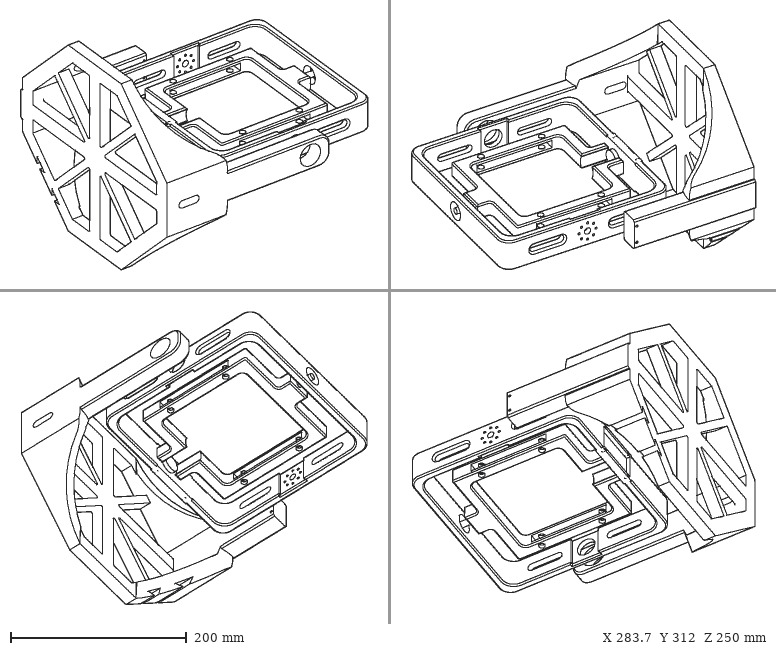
import cadquery as cq
import math

ROOT2 = math.sqrt(2)

HALF_HEIGHT = 20.0
EDGE = 2.0
PIVOT_Y = 202.0
SCREW_D = 2.6
CLEAR = 3.0
FAR = 312.0

PLATE_HALF_X = 140.0
PLATE_HALF_Z = 125.0
CORNER_CUT = 88.5
RIM = 20.0
SPOKE = 10.0
PLATE_THICK = 15.0
WINDOW_R = 2.0
GUSSET_Y = 85.5
GUSSET_HOLLOW_R = 137.3
GUSSET_SHOULDER_R = 30.0
ARM_EDGE = 2.2
BOSS_PROUD = 3.7
LEFT_ARM_Y = 160.0
RIGHT_ARM_Y = 229.7
RIGHT_ARM_END_R = 14.5
ARM_HOLE_D = 28.5
ARM_SCREW_Y = 156.7
ARM_SCREW_Z = 11.2
CABLE_SLOT_Y = 31.2
CABLE_SLOT_LENGTH = 28.0
CABLE_SLOT_WIDTH = 10.0
NOTCH_MOUTH = 7.0
NOTCH_DEPTH = 6.5
NOTCH_PLACES = (43.7, 84.0)

PLATE_TOP_X = PLATE_HALF_X - CORNER_CUT
PLATE_SIDE_Z = PLATE_HALF_Z - CORNER_CUT

RING_SIDE = 220.0
RING_WALL = 10.0
RING_CORNER_R = 15.0
RING_SLOT_OFFSET = 52.5
RING_SLOT_LENGTH = 45.0
RING_SLOT_WIDTH = 10.0
RING_SLOT_CHAMFER = 2.5
RECESS_LENGTH = 36.0
LEFT_RECESS = 2.5
RIGHT_RECESS = 3.5
SHAFT_HOLE_D = 8.0
HORN_SCREWS = 8
HORN_CIRCLE_R = 11.2
RIGHT_BEARING_D = 23.0
BACK_BEARING_D = 22.5
HUB_D = 22.5
HUB_LENGTH = 5.0
SERVO_X = -13.0
SERVO_LENGTH = 58.0
SERVO_HEIGHT = 31.2
SERVO_DEPTH = 5.0
SERVO_SCREW_X = 25.3
SERVO_SCREW_Z = 17.8
PLAIN_LENGTH = 64.3

RING_HALF = RING_SIDE / 2
RING_INNER = RING_HALF - RING_WALL

FRAME_Y = 199.0
FRAME_SIDE = 150.0
FRAME_OPENING = 120.2
FRAME_HALF_HEIGHT = 10.0
FRAME_INNER_R = 7.5
FRAME_OUTER_R = 2.5
TAB_ROOT_R = 5.0
BACK_TAB_WIDTH = 31.2
BACK_TAB_Y = 292.0
FORK_WIDTH = 43.0
FORK_GAP = 24.0
FORK_Y = 103.0
FORK_BORE_D = 28.5
PIN_D = 7.5
RAIL_HOLE_D = 7.5
RAIL_HOLE_X = 67.5
RAIL_HOLE_Y = 40.0
RAIL_SLOT_LENGTH = 99.0
RAIL_SLOT_HEIGHT = 10.0


def box(x0, x1, y0, y1, z0, z1):
    """Box between two opposite corners."""
    return cq.Workplane("XY").box(x1 - x0, y1 - y0, z1 - z0, centered=False).translate((x0, y0, z0))


def x_cylinder(diameter, x0, x1, y, z=0):
    return cq.Workplane("YZ", origin=(x0, y, z)).circle(diameter / 2).extrude(x1 - x0)


def y_cylinder(diameter, y0, y1, x=0, z=0):
    return cq.Workplane("XZ", origin=(x, y0, z)).circle(diameter / 2).extrude(y0 - y1)


def octagon(inset, length):
    """Octagonal prism along +Y from y = 0, its sides moved inwards by the inset."""
    half_x = PLATE_HALF_X - inset
    half_z = PLATE_HALF_Z - inset
    reach = PLATE_HALF_X + PLATE_SIDE_Z - inset * ROOT2
    top_x = reach - half_z
    side_z = reach - half_x
    points = [
        (half_x, side_z), (top_x, half_z), (-top_x, half_z), (-half_x, side_z),
        (-half_x, -side_z), (-top_x, -half_z), (top_x, -half_z), (half_x, -side_z),
    ]
    return cq.Workplane("XZ").polyline(points).close().extrude(-length)


def plate_windows():
    """Eight openings left between the rim, the cross ribs and the diagonal spokes."""
    windows = octagon(RIM, PLATE_THICK)
    for angle in (45, 135):
        spoke = cq.Workplane("XY").box(2 * FAR, 2 * PLATE_THICK, SPOKE)
        windows = windows.cut(spoke.rotate((0, 0, 0), (0, 1, 0), angle))
    windows = windows.cut(cq.Workplane("XY").box(2 * FAR, 2 * PLATE_THICK, RIM))
    windows = windows.cut(cq.Workplane("XY").box(RIM, 2 * PLATE_THICK, 2 * FAR))
    near = RIM / 2 + 0.03
    beside_upright = cq.selectors.BoxSelector((-near, -CLEAR, -FAR), (near, FAR, FAR))
    beside_level = cq.selectors.BoxSelector((-FAR, -CLEAR, -near), (FAR, FAR, near))
    return windows.edges(beside_upright + beside_level).edges("|Y").fillet(WINDOW_R)


def gusset_cut():
    """Space above the swept top of the +X +Z diagonal wall, cut square to that wall."""
    radii = GUSSET_HOLLOW_R + GUSSET_SHOULDER_R
    rise = GUSSET_Y - PLATE_THICK
    run = math.sqrt(radii**2 - (radii - rise) ** 2)
    angle = math.asin(run / radii)

    def hollow(turn):
        return (GUSSET_HOLLOW_R * math.sin(turn), PLATE_THICK + GUSSET_HOLLOW_R * (1 - math.cos(turn)))

    def shoulder(turn):
        return (run - GUSSET_SHOULDER_R * math.sin(turn), GUSSET_Y - GUSSET_SHOULDER_R * (1 - math.cos(turn)))

    back = -93.5
    above = 2 * GUSSET_Y
    wall = cq.Plane(origin=(PLATE_TOP_X, 0, PLATE_HALF_Z), xDir=(1, 0, -1), normal=(1, 0, 1))
    profile = (
        cq.Workplane(wall)
        .moveTo(back, PLATE_THICK)
        .lineTo(0, PLATE_THICK)
        .threePointArc(hollow(angle / 2), hollow(angle))
        .threePointArc(shoulder(angle / 2), (run, GUSSET_Y))
        .lineTo(run, above)
        .lineTo(back, above)
        .close()
    )
    return profile.extrude(62.5, both=True)


def dovetail_notch(place):
    """Dovetail groove along Y in the lower left diagonal wall."""
    mouth = NOTCH_MOUTH / 2
    base = mouth + NOTCH_DEPTH
    step = place / ROOT2
    wall = cq.Plane(
        origin=(-PLATE_HALF_X + step, 0, -PLATE_SIDE_Z - step), xDir=(1, 0, -1), normal=(0, -1, 0)
    )
    points = [(-mouth, 0), (mouth, 0), (base, NOTCH_DEPTH), (-base, NOTCH_DEPTH)]
    return cq.Workplane(wall).polyline(points).close().extrude(-2 * GUSSET_Y)


def make_bracket():
    body = octagon(0, GUSSET_Y).cut(octagon(RIM, GUSSET_Y).translate((0, PLATE_THICK, 0)))
    body = body.cut(box(-PLATE_TOP_X, PLATE_TOP_X, PLATE_THICK, FAR, -FAR, FAR))
    cutter = gusset_cut()
    for tool in (cutter, cutter.mirror("XY")):
        body = body.cut(tool).cut(tool.mirror("YZ"))

    left = box(-PLATE_HALF_X - BOSS_PROUD, -PLATE_HALF_X + RIM, 0, LEFT_ARM_Y, -HALF_HEIGHT, HALF_HEIGHT)
    body = body.union(left.edges("|Y").chamfer(ARM_EDGE))
    right = box(PLATE_HALF_X - RIM, PLATE_HALF_X, 0, RIGHT_ARM_Y, -HALF_HEIGHT, HALF_HEIGHT)
    right = right.edges("|X and >Y").fillet(RIGHT_ARM_END_R)
    body = body.union(right.faces("<X or >X").edges("not(<Y)").chamfer(ARM_EDGE))

    body = body.cut(plate_windows())
    inside_x = PLATE_HALF_X - RIM - CLEAR
    outside_x = PLATE_HALF_X + BOSS_PROUD + CLEAR
    body = body.cut(x_cylinder(ARM_HOLE_D, inside_x, outside_x, PIVOT_Y))
    for z in (-ARM_SCREW_Z, ARM_SCREW_Z):
        body = body.cut(x_cylinder(SCREW_D, -outside_x, -inside_x, ARM_SCREW_Y, z))
    cable_slot = cq.Workplane("YZ", origin=(inside_x, CABLE_SLOT_Y, 0))
    body = body.cut(cable_slot.slot2D(CABLE_SLOT_LENGTH, CABLE_SLOT_WIDTH).extrude(outside_x - inside_x))
    for place in NOTCH_PLACES:
        body = body.cut(dovetail_notch(place))
    return body


def ring_slot(side, y):
    """Slot through a side wall, flared at the outer face; side is -1 or 1."""
    face_x = side * RING_HALF
    flare_growth = 2 * RING_SLOT_CHAMFER
    slot = (
        cq.Workplane("YZ", origin=(face_x - 2 * RING_WALL, y, 0))
        .slot2D(RING_SLOT_LENGTH, RING_SLOT_WIDTH)
        .extrude(4 * RING_WALL)
    )
    flare = (
        cq.Workplane("YZ", origin=(face_x, y, 0))
        .slot2D(RING_SLOT_LENGTH + flare_growth, RING_SLOT_WIDTH + flare_growth)
        .extrude(-side * RING_SLOT_CHAMFER, taper=45)
    )
    return slot.union(flare)


def make_ring():
    ring = cq.Workplane("XY").box(RING_SIDE, RING_SIDE, 2 * HALF_HEIGHT).edges("|Z").fillet(RING_CORNER_R)
    opening = cq.Workplane("XY").box(2 * RING_INNER, 2 * RING_INNER, 4 * HALF_HEIGHT)
    ring = ring.cut(opening.edges("|Z").fillet(RING_CORNER_R))
    half_recess = RECESS_LENGTH / 2
    ring = ring.cut(box(-RING_INNER - LEFT_RECESS, 0, -half_recess, half_recess, -FAR, FAR))
    ring = ring.cut(box(0, RING_INNER + RIGHT_RECESS, -half_recess, half_recess, -FAR, FAR))
    ring = ring.faces(">Z or <Z").edges().chamfer(EDGE)

    half_plain = PLAIN_LENGTH / 2
    ring = ring.union(
        box(SERVO_X - half_plain, SERVO_X + half_plain, -RING_HALF, -RING_INNER, -HALF_HEIGHT, HALF_HEIGHT)
    )

    for side in (-1, 1):
        for y in (-RING_SLOT_OFFSET, RING_SLOT_OFFSET):
            ring = ring.cut(ring_slot(side, y))
    outside = RING_HALF + CLEAR
    ring = ring.cut(x_cylinder(SHAFT_HOLE_D, -outside, 0, 0))
    for i in range(HORN_SCREWS):
        angle = 2 * math.pi * i / HORN_SCREWS
        y = HORN_CIRCLE_R * math.cos(angle)
        z = HORN_CIRCLE_R * math.sin(angle)
        ring = ring.cut(x_cylinder(SCREW_D, -outside, 0, y, z))
    ring = ring.cut(x_cylinder(RIGHT_BEARING_D, 0, outside, 0))
    ring = ring.cut(y_cylinder(BACK_BEARING_D, 0, outside))

    pocket_y = -RING_HALF + SERVO_DEPTH
    half_servo = SERVO_LENGTH / 2
    half_pocket = SERVO_HEIGHT / 2
    ring = ring.cut(
        box(SERVO_X - half_servo, SERVO_X + half_servo, -outside, pocket_y, -half_pocket, half_pocket)
    )
    for x in (SERVO_X - SERVO_SCREW_X, SERVO_X + SERVO_SCREW_X):
        for z in (-SERVO_SCREW_Z, SERVO_SCREW_Z):
            ring = ring.cut(y_cylinder(SCREW_D, -outside, pocket_y, x, z))
    ring = ring.union(y_cylinder(HUB_D, -RING_INNER - CLEAR, -RING_INNER + HUB_LENGTH))
    return ring.translate((0, PIVOT_Y, 0))


def make_frame():
    height = FRAME_HALF_HEIGHT
    half = FRAME_SIDE / 2
    back = BACK_TAB_Y - FRAME_Y
    front = FORK_Y - FRAME_Y

    frame = cq.Workplane("XY").box(FRAME_SIDE, FRAME_SIDE, 2 * height).edges("|Z").fillet(FRAME_OUTER_R)
    frame = frame.union(box(-BACK_TAB_WIDTH / 2, BACK_TAB_WIDTH / 2, 0, back, -height, height))
    frame = frame.union(box(-FORK_WIDTH / 2, FORK_WIDTH / 2, front, 0, -height, height))
    reach = FORK_WIDTH / 2 + CLEAR
    near = 0.3
    back_roots = cq.selectors.BoxSelector((-reach, half - near, -FAR), (reach, half + near, FAR))
    front_roots = cq.selectors.BoxSelector((-reach, -half - near, -FAR), (reach, -half + near, FAR))
    frame = frame.edges("|Z").edges(back_roots + front_roots).fillet(TAB_ROOT_R)

    opening = cq.Workplane("XY").box(FRAME_OPENING, FRAME_OPENING, 4 * height)
    frame = frame.cut(opening.edges("|Z").fillet(FRAME_INNER_R))
    frame = frame.cut(box(-FORK_GAP / 2, FORK_GAP / 2, front - CLEAR, 0, -FAR, FAR))
    frame = frame.faces(">Z or <Z").edges().chamfer(EDGE)
    frame = frame.cut(y_cylinder(FORK_BORE_D, front - CLEAR, 0))

    frame = frame.cut(cq.Workplane("XY").box(2 * FAR, RAIL_SLOT_LENGTH, RAIL_SLOT_HEIGHT))
    for x in (-RAIL_HOLE_X, RAIL_HOLE_X):
        for y in (-RAIL_HOLE_Y, RAIL_HOLE_Y):
            hole = cq.Workplane("XY").center(x, y).circle(RAIL_HOLE_D / 2).extrude(2 * height, both=True)
            frame = frame.cut(hole)

    frame = frame.union(y_cylinder(PIN_D, back - CLEAR, PIVOT_Y + RING_HALF - FRAME_Y))
    return frame.translate((0, FRAME_Y, 0))


bracket = make_bracket()
ring = make_ring()
frame = make_frame()
result = cq.Compound.makeCompound([bracket.val(), ring.val(), frame.val()])